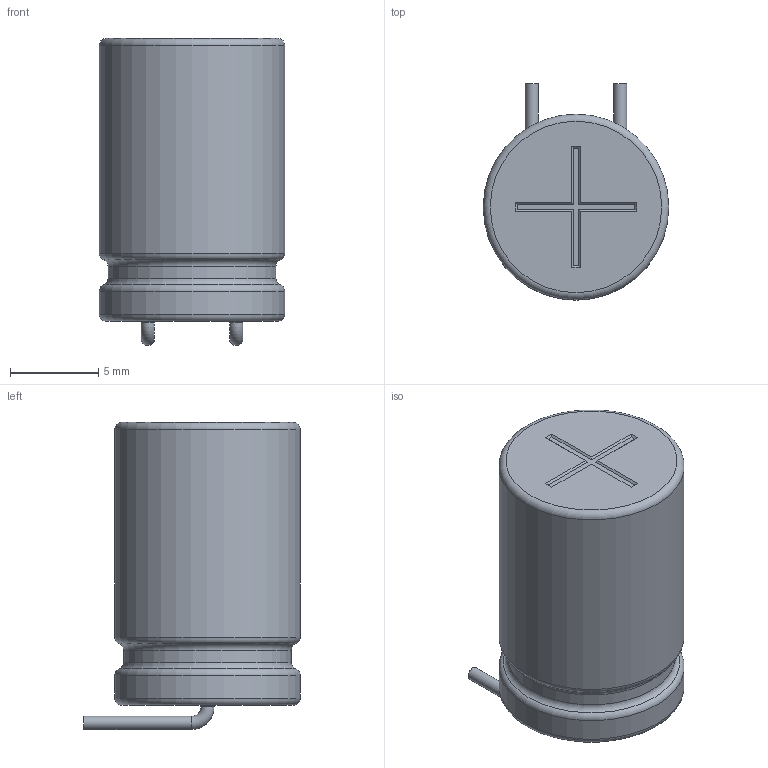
import cadquery as cq
import math


can_radius = 5.25
can_height = 16.0
rim_fillet = 0.4

groove_depth = 0.5
groove_center_z = 2.77
groove_floor_height = 0.68
groove_arc_radius = 0.4

score_length = 6.85
score_width = 0.5
score_depth = 0.1
score_wall_angle = 45.0

lead_diameter = 0.75
lead_pitch = 5.0
lead_drop = 1.0
lead_bend_radius = 0.9
lead_end_y = 7.0
lead_embed = 0.5


def can_body():
    """Can turned from its half section (radius, height), crimp groove included."""
    floor_radius = can_radius - groove_depth
    arc_angle = math.acos(1 - groove_depth / (2 * groove_arc_radius))
    wall_height = 2 * groove_arc_radius * math.sin(arc_angle)
    middle_radius = can_radius - groove_depth / 2

    floor_top = groove_center_z + groove_floor_height / 2
    floor_bottom = groove_center_z - groove_floor_height / 2
    groove_top = floor_top + wall_height
    groove_bottom = floor_bottom - wall_height

    half_rise = groove_arc_radius * math.sin(arc_angle / 2)
    half_inset = groove_arc_radius * (1 - math.cos(arc_angle / 2))

    rim_offset = rim_fillet * (1 - math.sqrt(0.5))

    section = (
        cq.Workplane("XZ")
        .lineTo(can_radius - rim_fillet, 0)
        .threePointArc((can_radius - rim_offset, rim_offset), (can_radius, rim_fillet))
        .lineTo(can_radius, groove_bottom)
        .threePointArc(
            (can_radius - half_inset, groove_bottom + half_rise),
            (middle_radius, groove_bottom + wall_height / 2),
        )
        .threePointArc((floor_radius + half_inset, floor_bottom - half_rise), (floor_radius, floor_bottom))
        .lineTo(floor_radius, floor_top)
        .threePointArc(
            (floor_radius + half_inset, floor_top + half_rise),
            (middle_radius, floor_top + wall_height / 2),
        )
        .threePointArc((can_radius - half_inset, groove_top - half_rise), (can_radius, groove_top))
        .lineTo(can_radius, can_height - rim_fillet)
        .threePointArc(
            (can_radius - rim_offset, can_height - rim_offset),
            (can_radius - rim_fillet, can_height),
        )
        .lineTo(0, can_height)
        .close()
    )
    return section.revolve(360, (0, 0, 0), (0, 1, 0))


def score_bar(size_x, size_y):
    """One bar of the vent score, narrowing from the top face down to its floor."""
    return (
        cq.Workplane("XY", origin=(0, 0, can_height))
        .rect(size_x, size_y)
        .extrude(-score_depth, taper=score_wall_angle)
    )


def lead(x):
    """Round wire leaving the can base downwards and bending to run along +Y."""
    bend_start_z = lead_bend_radius - lead_drop
    bend_middle = lead_bend_radius * (1 - math.sqrt(0.5))
    path = (
        cq.Workplane("YZ", origin=(x, 0, 0))
        .moveTo(0, lead_embed)
        .lineTo(0, bend_start_z)
        .threePointArc((bend_middle, bend_middle - lead_drop), (lead_bend_radius, -lead_drop))
        .lineTo(lead_end_y, -lead_drop)
    )
    return cq.Workplane("XY", origin=(x, 0, lead_embed)).circle(lead_diameter / 2).sweep(path)


result = can_body()
for bar_x, bar_y in ((score_length, score_width), (score_width, score_length)):
    result = result.cut(score_bar(bar_x, bar_y))
for side in (-1, 1):
    result = result.union(lead(side * lead_pitch / 2))